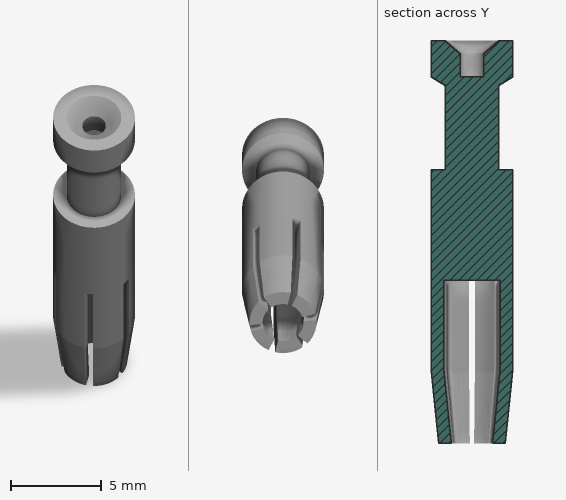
import cadquery as cq
import math

total_length = 22.2
head_edge_height = 20.18
head_base_height = 19.71
shoulder_height = 15.1
slot_height = 9.0
taper_height = 4

body_radius = 4.5 / 2
neck_radius = 1.498
tip_radius = 1.85

cup_rim_radius = neck_radius
cup_hole_radius = 0.65
cup_cone_depth = 0.73
cup_depth = 2

socket_depth = slot_height
socket_radius = 1.53
socket_tip_radius = socket_radius - (body_radius - tip_radius)
slot_angle = 12
slot_count = 6


def revolve_profile(points):
    """Turn (radius, height) points around the Z axis."""
    return cq.Workplane("XZ").polyline(points).close().revolve(360, (0, 0, 0), (0, 1, 0))


def turned_body():
    return revolve_profile([
        (0, 0),
        (tip_radius, 0),
        (body_radius, taper_height),
        (body_radius, shoulder_height),
        (neck_radius, shoulder_height),
        (neck_radius, head_base_height),
        (body_radius, head_edge_height),
        (body_radius, total_length),
        (0, total_length),
    ])


def head_cup():
    floor_height = total_length - cup_depth
    return revolve_profile([
        (0, floor_height),
        (cup_hole_radius, floor_height),
        (cup_hole_radius, total_length - cup_cone_depth),
        (cup_rim_radius, total_length),
        (0, total_length),
    ])


def tip_socket():
    return revolve_profile([
        (0, 0),
        (socket_tip_radius, 0),
        (socket_radius, taper_height),
        (socket_radius, socket_depth),
        (0, socket_depth),
    ])


def slot_cutter():
    """Wedge with radial walls, pointing along +X, up to the end of the slots."""
    reach = 2 * body_radius
    half_width = reach * math.tan(math.radians(slot_angle / 2))
    outline = [
        (0, 0),
        (reach, -half_width),
        (reach, half_width),
    ]
    return cq.Workplane("XY").polyline(outline).close().extrude(slot_height)


result = turned_body().cut(head_cup()).cut(tip_socket())
for index in range(slot_count):
    angle = 90 + index * 360 / slot_count
    result = result.cut(slot_cutter().rotate((0, 0, 0), (0, 0, 1), angle))